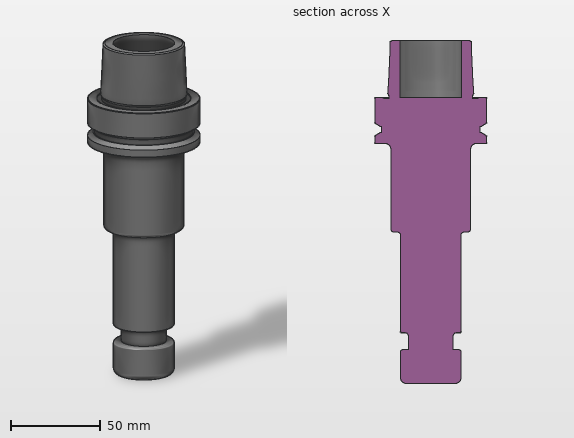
import cadquery as cq
import math

length = 192.0

taper_top_radius = 22.8
taper_base_radius = 24.2
taper_base_z = 162.5
rim_chamfer = 1.2
rim_chamfer_height = 0.5
bore_radius = 17.0
bore_depth = 31.9

relief_radius = 23.6
relief_z = 161.3
relief_depth = 0.5
relief_outer_radius = 26.3

flange_radius = 31.5
flange_top_z = 160.1
flange_bottom_z = 134.2
flange_chamfer = 0.4
groove_radius = 27.6
groove_upper_edge_z = 145.7
groove_lower_edge_z = 138.6
groove_slope_height = 2.0
groove_slope_radius = 28.5

body_radius = 22.5
body_bottom_z = 84.7
body_fillet = 3.0
body_edge_round = 2.0

shank_radius = 17.0
shank_bottom_z = 28.5
shank_fillet = 1.5
shank_chamfer = 0.4
neck_radius = 12.7
neck_fillet = 2.0
head_top_z = 19.2
head_top_round = 1.5
head_bottom_round = 3.5


def corner_arc(profile, end, center, radius, outward):
    """Add a quarter round whose middle lies diagonally from its center.

    outward gives the signs of the radial and axial directions to the middle.
    """
    reach = radius * math.sqrt(0.5)
    middle = (center[0] + outward[0] * reach, center[1] + outward[1] * reach)
    return profile.threePointArc(middle, end)


def convex_bottom(profile, radius, z, size):
    """Go down a cylinder and round its lower edge into a face at height z."""
    profile = profile.lineTo(radius, z + size)
    return corner_arc(profile, (radius - size, z), (radius - size, z + size), size, (1, -1))


def concave_top(profile, radius, z, size):
    """Go inward along a face at height z and blend it into a cylinder below."""
    profile = profile.lineTo(radius + size, z)
    return corner_arc(profile, (radius, z - size), (radius + size, z - size), size, (-1, 1))


def add_taper(profile):
    return (
        profile.lineTo(0, length)
        .lineTo(taper_top_radius - rim_chamfer, length)
        .lineTo(taper_top_radius, length - rim_chamfer_height)
        .lineTo(taper_base_radius, taper_base_z)
        .lineTo(relief_radius, relief_z)
        .lineTo(relief_radius, flange_top_z - relief_depth)
        .lineTo(relief_outer_radius, flange_top_z - relief_depth)
        .lineTo(relief_outer_radius, flange_top_z)
    )


def add_flange(profile):
    return (
        profile.lineTo(flange_radius - flange_chamfer, flange_top_z)
        .lineTo(flange_radius, flange_top_z - flange_chamfer)
        .lineTo(flange_radius, groove_upper_edge_z)
        .lineTo(groove_slope_radius, groove_upper_edge_z - groove_slope_height)
        .lineTo(groove_radius, groove_upper_edge_z - groove_slope_height)
        .lineTo(groove_radius, groove_lower_edge_z + groove_slope_height)
        .lineTo(groove_slope_radius, groove_lower_edge_z + groove_slope_height)
        .lineTo(flange_radius, groove_lower_edge_z)
        .lineTo(flange_radius, flange_bottom_z + flange_chamfer)
        .lineTo(flange_radius - flange_chamfer, flange_bottom_z)
    )


def add_body(profile):
    profile = concave_top(profile, body_radius, flange_bottom_z, body_fillet)
    return convex_bottom(profile, body_radius, body_bottom_z, body_edge_round)


def add_shank(profile):
    profile = concave_top(profile, shank_radius, body_bottom_z, shank_fillet)
    profile = (
        profile.lineTo(shank_radius, shank_bottom_z + shank_chamfer)
        .lineTo(shank_radius - shank_chamfer, shank_bottom_z)
    )
    return concave_top(profile, neck_radius, shank_bottom_z, neck_fillet)


def add_head(profile):
    round_start = shank_radius - head_top_round
    round_end_z = head_top_z - head_top_round
    profile = profile.lineTo(neck_radius, head_top_z).lineTo(round_start, head_top_z)
    profile = corner_arc(
        profile, (shank_radius, round_end_z), (round_start, round_end_z), head_top_round, (1, 1)
    )
    return convex_bottom(profile, shank_radius, 0, head_bottom_round)


profile = cq.Workplane("XZ").moveTo(0, 0)
for add_section in (add_taper, add_flange, add_body, add_shank, add_head):
    profile = add_section(profile)
holder = profile.close().revolve(360, (0, 0, 0), (0, 1, 0))

bore = cq.Workplane("XY").workplane(offset=length - bore_depth).circle(bore_radius).extrude(bore_depth)
result = holder.cut(bore)